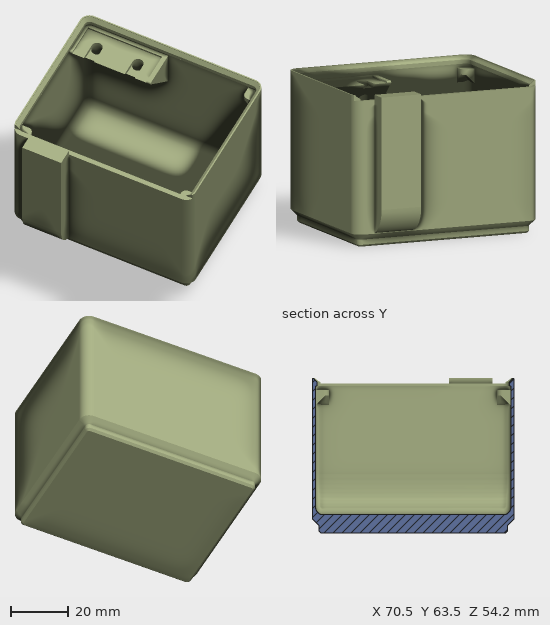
import cadquery as cq

length = 70.5
width = 57.5
height = 54.2
corner_radius = 3.75
wall = 1.2

foot_chamfer = 0.8
foot_straight = 1.8
foot_flare = 2.2

floor_z = 6.5
inner_radius = 2.5
scoop_radius = 14.0

lip_thickness = 1.75
lip_height = 2.95
rim_flat = 0.5

notch_depth = 2.0
notch_width = 2.0

handle_left = 7.4
handle_width = 15.2
handle_reach = 6.0
handle_straight = 40.0
handle_radius = 10.0

tab_drop = 4.2
tab_size = 4.7
tab_radius = 2.0
tab_height = 5.3
tab_thickness = 2.0

shelf_drop = 4.2
shelf_length = 32.0
shelf_depth = 14.4
shelf_nose_radius = 0.5
recess_length = 29.0
recess_depth = 0.7
recess_border = 1.35
hole_diameter = 4.0
hole_spacing = 16.0
hole_from_back = 7.3
slot_depth = 1.5

inner_length = length - 2 * wall
inner_width = width - 2 * wall
inner_left = -inner_length / 2
inner_front = -inner_width / 2
inner_back = inner_width / 2
front_face = -width / 2
lip_bottom = height - lip_height


def rounded_block(inset, bottom_z, block_height):
    """Upright block whose outline is the box outline moved inward by inset."""
    return (
        cq.Workplane("XY", origin=(0, 0, bottom_z))
        .rect(length - 2 * inset, width - 2 * inset)
        .extrude(block_height)
        .edges("|Z")
        .fillet(corner_radius - inset)
    )


def outer_body():
    foot = rounded_block(foot_flare, 0, foot_chamfer + foot_straight).faces("<Z").chamfer(foot_chamfer)
    body_z = foot_chamfer + foot_straight
    body = rounded_block(0, body_z, height - body_z).faces("<Z").chamfer(foot_flare)
    return foot.union(body)


def cavity():
    """Open pocket with a large scoop along the front and small fillets elsewhere."""
    profile = (
        cq.Workplane("YZ", origin=(inner_left, 0, 0))
        .moveTo(inner_front, lip_bottom)
        .lineTo(inner_front, floor_z + scoop_radius)
        .radiusArc((inner_front + scoop_radius, floor_z), -scoop_radius)
        .lineTo(inner_back - inner_radius, floor_z)
        .radiusArc((inner_back, floor_z + inner_radius), -inner_radius)
        .lineTo(inner_back, lip_bottom)
        .close()
    )
    return profile.extrude(inner_length).faces("<X or >X").edges("not >Z").fillet(inner_radius)


def lip_opening():
    """Mouth inside the lip, widening at 45 degrees up to the narrow flat rim."""
    throat = rounded_block(lip_thickness, lip_bottom, lip_height)
    flare = lip_thickness - rim_flat
    flare_block_height = lip_height / 2
    mouth = rounded_block(rim_flat, height - flare_block_height, flare_block_height).faces("<Z").chamfer(flare)
    return throat.union(mouth)


def front_notch():
    notch = cq.Workplane("XY").box(length, notch_width, notch_depth, centered=(True, False, False))
    return notch.translate((0, front_face, height - notch_depth))


def handle():
    """Front block whose lower end curves back into the wall."""
    outer_y = front_face - handle_reach
    arc_z = height - handle_straight
    profile = (
        cq.Workplane("YZ", origin=(handle_left - length / 2, 0, 0))
        .moveTo(front_face, height)
        .lineTo(outer_y, height)
        .lineTo(outer_y, arc_z)
        .radiusArc((outer_y + handle_radius, arc_z - handle_radius), -handle_radius)
        .lineTo(outer_y + handle_radius, arc_z)
        .lineTo(front_face, arc_z)
        .close()
    )
    return profile.extrude(handle_width)


def corner_tab():
    """Tab for the back right corner, carried by a 45 degree slope under it on each wall.

    Its root reaches into the walls.
    """
    top_z = height - tab_drop
    corner_x = inner_length / 2
    slope_reach = tab_height - tab_thickness
    root = wall / 2
    corner_size = tab_size + root
    outline = (
        cq.Workplane("XY", origin=(corner_x + root, inner_back + root, top_z - tab_height))
        .rect(-corner_size, -corner_size, centered=False)
        .extrude(tab_height)
        .edges("|Z and <X and <Y")
        .fillet(tab_radius)
    )

    def sloped_prism(plane, wall_place):
        return (
            cq.Workplane(plane)
            .moveTo(wall_place + root, top_z)
            .lineTo(wall_place - tab_size, top_z)
            .lineTo(wall_place - tab_size, top_z - tab_thickness)
            .lineTo(wall_place - slope_reach, top_z - tab_thickness)
            .lineTo(wall_place, top_z - tab_height)
            .lineTo(wall_place + root, top_z - tab_height)
            .close()
            .extrude(length / 2, both=True)
        )

    slopes = sloped_prism("YZ", inner_back).union(sloped_prism("XZ", corner_x))
    return outline.intersect(slopes)


def label_shelf():
    """Sloped shelf with a shallow label recess and two slotted through holes."""
    top_z = height - shelf_drop
    root = wall / 2
    shelf = (
        cq.Workplane("YZ", origin=(inner_left - root, 0, 0))
        .moveTo(inner_back + root, top_z)
        .lineTo(inner_back - shelf_depth, top_z)
        .lineTo(inner_back, top_z - shelf_depth)
        .lineTo(inner_back + root, top_z - shelf_depth)
        .close()
        .extrude(shelf_length + root)
        .edges("<Y").fillet(shelf_nose_radius)
    )
    recess_z = top_z - recess_depth
    recess_left = inner_left + recess_border
    recess = cq.Workplane("XY").box(recess_length, shelf_depth, recess_depth, centered=False)
    shelf = shelf.cut(recess.translate((recess_left, inner_back - recess_border - shelf_depth, recess_z)))

    hole_y = inner_back - hole_from_back
    slot_length = shelf_depth - hole_from_back
    for side in (-1, 1):
        hole_x = recess_left + recess_length / 2 + side * hole_spacing / 2
        hole = cq.Workplane("XY", origin=(hole_x, hole_y, recess_z)).circle(hole_diameter / 2)
        slot = (
            cq.Workplane("XY", origin=(hole_x, hole_y - slot_length / 2, recess_z))
            .rect(hole_diameter, slot_length)
            .extrude(-slot_depth)
        )
        shelf = shelf.cut(hole.extrude(-shelf_depth)).cut(slot)
    return shelf


envelope = outer_body()
result = envelope.union(handle()).cut(cavity()).cut(lip_opening()).cut(front_notch())

back_right_tab = corner_tab()
front_right_tab = back_right_tab.mirror("XZ")
front_left_tab = front_right_tab.mirror("YZ")
for tab in (back_right_tab, front_right_tab, front_left_tab):
    result = result.union(tab.intersect(envelope))

result = result.union(label_shelf().intersect(envelope))